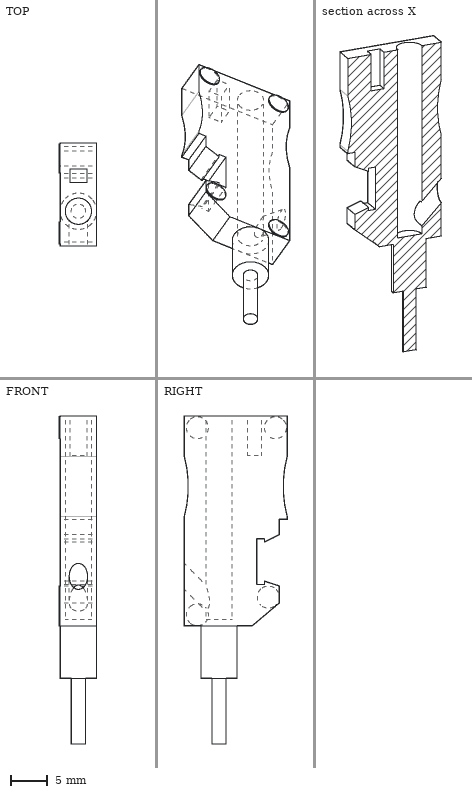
import cadquery as cq
import math

TOP_Z = 44.9
BODY_BOTTOM_Z = 16.15
SLEEVE_BOTTOM_Z = 9.0
BODY_WIDTH = 5.0
BODY_DEPTH = 14.1

GRIP_TOP_Z = 39.35
GRIP_BOTTOM_Z = 31.15
GRIP_SAG = 0.55
GRIP_MIDDLE_Z = (GRIP_TOP_Z + GRIP_BOTTOM_Z) / 2

STEP_Z = 30.75
LIP_BACK_Y = 13.0
LIP_TIP_Y = 10.95
SLOT_FLOOR_Y = 9.92
SLOT_TOP_Z = 28.05
SLOT_BOTTOM_Z = 21.85
HOOK_HEIGHT = 0.45
UPPER_LIP_Z = 28.65
LOWER_LIP_Z = 21.65
FOOT_CHAMFER_Z = 19.3
FOOT_CHAMFER_Y = 9.3

CABLE_Y = 4.75
SLEEVE_DIAMETER = BODY_WIDTH
CABLE_DIAMETER = 1.98

ROUND_SOCKET_DIAMETER = 3.6
ROUND_SOCKET_FLOOR_Z = 17.05
WINDOW_Y = 9.6
WINDOW_WIDTH = 2.35
WINDOW_LENGTH = 1.9
WINDOW_DEPTH = 5.4

SLOPED_HOLE_DIAMETER = 2.5
SLOPED_HOLE_Z = 22.95
SLOPE_ANGLE = math.radians(45)
SLOPED_HOLE_DEPTH = CABLE_Y / math.cos(SLOPE_ANGLE)

PAD_DIAMETER = 3.0
PAD_HEIGHT = 0.2
PAD_CENTERS = [(1.8, 43.3), (12.5, 43.3), (11.5, 20.1), (1.8, 17.7)]


def make_body():
    """Plate with grips and rail slot, centred on X = 0."""
    return (
        cq.Workplane("YZ", origin=(-BODY_WIDTH / 2, 0, 0))
        .moveTo(0, BODY_BOTTOM_Z)
        .lineTo(0, GRIP_BOTTOM_Z)
        .threePointArc((GRIP_SAG, GRIP_MIDDLE_Z), (0, GRIP_TOP_Z))
        .lineTo(0, TOP_Z)
        .lineTo(BODY_DEPTH, TOP_Z)
        .lineTo(BODY_DEPTH, GRIP_TOP_Z)
        .threePointArc((BODY_DEPTH - GRIP_SAG, GRIP_MIDDLE_Z), (BODY_DEPTH, GRIP_BOTTOM_Z))
        .lineTo(BODY_DEPTH, STEP_Z)
        .lineTo(LIP_BACK_Y, STEP_Z)
        .lineTo(LIP_BACK_Y, UPPER_LIP_Z)
        .lineTo(LIP_TIP_Y, SLOT_TOP_Z - HOOK_HEIGHT)
        .lineTo(LIP_TIP_Y, SLOT_TOP_Z)
        .lineTo(SLOT_FLOOR_Y, SLOT_TOP_Z)
        .lineTo(SLOT_FLOOR_Y, SLOT_BOTTOM_Z)
        .lineTo(LIP_TIP_Y, SLOT_BOTTOM_Z)
        .lineTo(LIP_TIP_Y, SLOT_BOTTOM_Z + HOOK_HEIGHT)
        .lineTo(LIP_BACK_Y, LOWER_LIP_Z)
        .lineTo(LIP_BACK_Y, FOOT_CHAMFER_Z)
        .lineTo(FOOT_CHAMFER_Y, BODY_BOTTOM_Z)
        .close()
        .extrude(BODY_WIDTH)
    )


def make_cable():
    """Sleeve below the body with the thinner cable below it."""
    sleeve = (
        cq.Workplane("XY", origin=(0, CABLE_Y, SLEEVE_BOTTOM_Z))
        .circle(SLEEVE_DIAMETER / 2)
        .extrude(BODY_BOTTOM_Z - SLEEVE_BOTTOM_Z)
    )
    cable = (
        cq.Workplane("XY", origin=(0, CABLE_Y, 0))
        .circle(CABLE_DIAMETER / 2)
        .extrude(SLEEVE_BOTTOM_Z)
    )
    return sleeve.union(cable)


def make_pads():
    """Thin discs standing out from the -X side."""
    return (
        cq.Workplane("YZ", origin=(-BODY_WIDTH / 2, 0, 0))
        .pushPoints(PAD_CENTERS)
        .circle(PAD_DIAMETER / 2)
        .extrude(-PAD_HEIGHT)
    )


def make_top_sockets():
    """Round and rectangular blind sockets, opening upward."""
    top = cq.Workplane("XY", origin=(0, 0, TOP_Z))
    round_socket = (
        top.center(0, CABLE_Y)
        .circle(ROUND_SOCKET_DIAMETER / 2)
        .extrude(ROUND_SOCKET_FLOOR_Z - TOP_Z)
    )
    window = top.center(0, WINDOW_Y).rect(WINDOW_WIDTH, WINDOW_LENGTH).extrude(-WINDOW_DEPTH)
    return round_socket.union(window)


def make_sloped_hole():
    """Cylinder running inward and down, started outside so that it clears the front face."""
    radius = SLOPED_HOLE_DIAMETER / 2
    lead_in = 2 * radius
    direction = cq.Vector(0, math.cos(SLOPE_ANGLE), -math.sin(SLOPE_ANGLE))
    start = cq.Vector(0, 0, SLOPED_HOLE_Z) - direction * lead_in
    return cq.Workplane(cq.Solid.makeCylinder(radius, lead_in + SLOPED_HOLE_DEPTH, start, direction))


result = (
    make_body()
    .union(make_cable())
    .union(make_pads())
    .cut(make_top_sockets())
    .cut(make_sloped_hole())
)